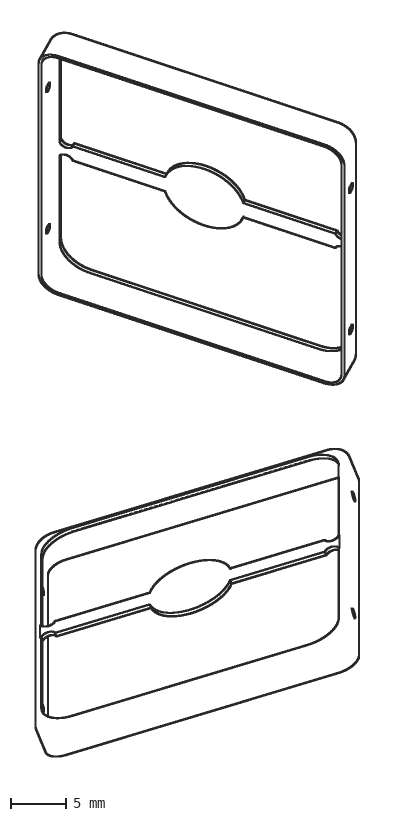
import cadquery as cq

width = 30.3
depth = 3.3
height = 33.8
wall = 0.3
floor_thickness = 0.4
corner_radius = 2.0
rim_radius = 0.8
inner_rim_radius = rim_radius - wall

opening_margin = rim_radius
opening_radius = 2.97

bar_height = 2.03
disc_diameter = 8.0
neck_height = 1.05
notch_radius = 0.68

hole_diameter = 0.9
hole_spacing = 20.0
hole_from_back = 1.8

back_y = depth / 2
floor_y = back_y - floor_thickness
front_y = -depth / 2
opening_width = width - 2 * opening_margin
opening_height = height - 2 * opening_margin


def rounded_block(size_x, size_z, start_y, end_y, radius):
    """Block between two Y positions with its four Y-direction edges rounded."""
    length = end_y - start_y
    block = cq.Workplane("XY").box(size_x, length, size_z)
    return block.edges("|Y").fillet(radius).translate((0, (start_y + end_y) / 2, 0))


def make_frame():
    outer = rounded_block(width, height, front_y, back_y, corner_radius)
    outer = outer.faces(">Y").edges().fillet(rim_radius)
    cavity = rounded_block(
        width - 2 * wall, height - 2 * wall, front_y, floor_y, corner_radius - wall
    )
    cavity = cavity.faces(">Y").edges().fillet(inner_rim_radius)
    opening = rounded_block(opening_width, opening_height, front_y, back_y, opening_radius)
    return outer.cut(cavity).cut(opening)


def make_crossbar():
    plane = cq.Workplane("XZ", origin=(0, floor_y, 0))
    bar_overlap = floor_thickness / 4
    bar = plane.rect(opening_width + 2 * bar_overlap, bar_height).extrude(-floor_thickness)
    disc = plane.circle(disc_diameter / 2).extrude(-floor_thickness)
    notch_x = opening_width / 2 - notch_radius
    notch_z = neck_height / 2 + notch_radius
    notch_centers = [(sx * notch_x, sz * notch_z) for sx in (-1, 1) for sz in (-1, 1)]
    notches = plane.pushPoints(notch_centers).circle(notch_radius).extrude(-floor_thickness)
    return bar.union(disc).cut(notches)


def make_pin_holes():
    return (
        cq.Workplane("YZ", origin=(-width / 2, back_y - hole_from_back, 0))
        .pushPoints([(0, -hole_spacing / 2), (0, hole_spacing / 2)])
        .circle(hole_diameter / 2)
        .extrude(width)
    )


result = make_frame().union(make_crossbar()).cut(make_pin_holes())